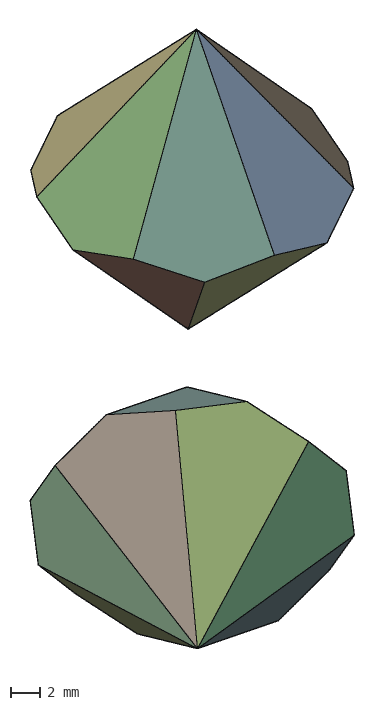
import cadquery as cq
import math

KITES_PER_HALF = 7
APEX_HEIGHT = 12.642
GIRDLE_RADIUS = 11.16
SPIN_ANGLE = 92.42
TILT_ANGLE = 1.952

GIRDLE_CORNERS = 2 * KITES_PER_HALF
CORNER_STEP = 2 * math.pi / GIRDLE_CORNERS

GIRDLE_HEIGHT = APEX_HEIGHT * math.tan(CORNER_STEP / 2) ** 2


def girdle_corner(index):
    """Corner of the zigzag girdle; even corners are high and odd ones are low."""
    angle = math.radians(SPIN_ANGLE) + index * CORNER_STEP
    height = GIRDLE_HEIGHT if index % 2 == 0 else -GIRDLE_HEIGHT
    return cq.Vector(GIRDLE_RADIUS * math.cos(angle), GIRDLE_RADIUS * math.sin(angle), height)


def kite_face(middle_index):
    """Kite from a tip to the girdle corner on the far side of the girdle's mid-plane."""
    tip_height = -APEX_HEIGHT if middle_index % 2 == 0 else APEX_HEIGHT
    corners = [
        cq.Vector(0, 0, tip_height),
        girdle_corner(middle_index - 1),
        girdle_corner(middle_index),
        girdle_corner(middle_index + 1),
    ]
    return cq.Face.makeFromWires(cq.Wire.makePolygon(corners, close=True))


def die_body():
    """Upright die centred on the origin."""
    kites = [kite_face(index) for index in range(GIRDLE_CORNERS)]
    return cq.Solid.makeSolid(cq.Shell.makeShell(kites))


result = cq.Workplane("XY").add(die_body()).rotate((0, 0, 0), (0, 1, 0), TILT_ANGLE)